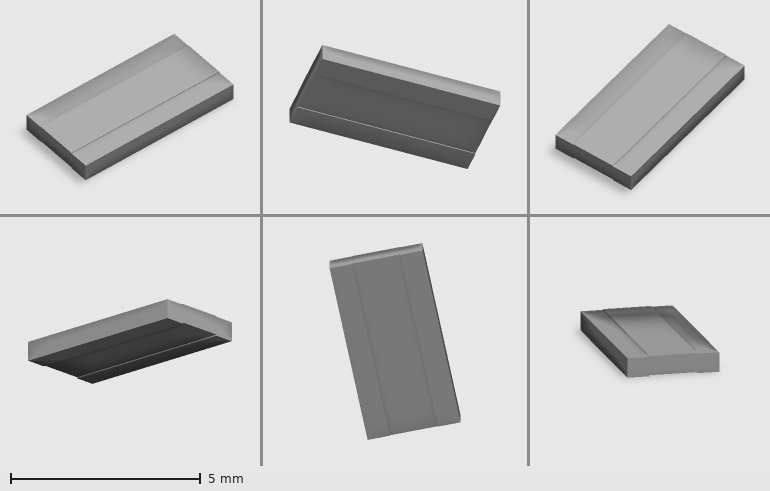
import cadquery as cq

LENGTH = 5.0
WIDTH = 2.5
HEIGHT = 0.55

PLATING_THICKNESS = 0.03
COATING_THICKNESS = 0.05

TERMINAL_WIDTH = 0.6

SUBSTRATE_WIDTH = WIDTH - 2 * PLATING_THICKNESS
SUBSTRATE_TOP = HEIGHT - COATING_THICKNESS
SUBSTRATE_HEIGHT = SUBSTRATE_TOP - PLATING_THICKNESS
TERMINAL_HEIGHT = SUBSTRATE_TOP + PLATING_THICKNESS
COATING_WIDTH = WIDTH - 2 * TERMINAL_WIDTH


def bar(width, height, base_z, center_x=0.0):
    """Rectangular bar running the full length, standing on base_z."""
    return (
        cq.Workplane("XY")
        .box(width, LENGTH, height, centered=(True, True, False))
        .translate((center_x, 0, base_z))
    )


def make_substrate():
    """Flat core that carries the terminals and the coating."""
    return bar(SUBSTRATE_WIDTH, SUBSTRATE_HEIGHT, PLATING_THICKNESS)


def make_coating():
    """Raised strip on top of the substrate, filling the gap between the terminals."""
    return bar(COATING_WIDTH, COATING_THICKNESS, SUBSTRATE_TOP)


def make_terminal(side):
    """C-shaped plating wrapped around one long edge; side is -1 or +1 along X."""
    center_x = side * (WIDTH - TERMINAL_WIDTH) / 2
    return bar(TERMINAL_WIDTH, TERMINAL_HEIGHT, 0, center_x).cut(make_substrate())


substrate = make_substrate()
coating = make_coating()
terminals = [make_terminal(side) for side in (-1, 1)]

result = cq.Compound.makeCompound(
    [substrate.val(), coating.val(), *[terminal.val() for terminal in terminals]]
)